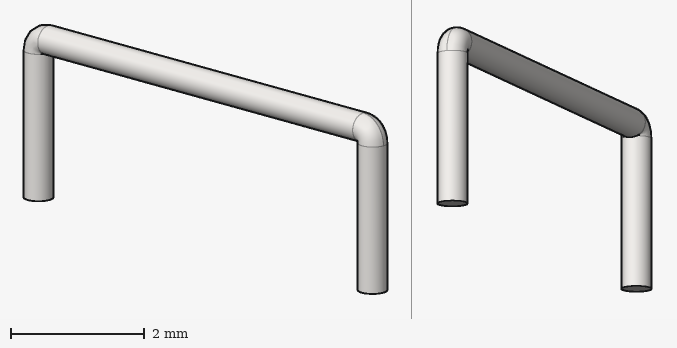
import cadquery as cq

wire_diameter = 0.45
leg_pitch = 7.0
overall_height = 2.72
bend_radius = 0.2

wire_radius = wire_diameter / 2
bar_height = overall_height / 2 - wire_radius
leg_bottom = -overall_height / 2
leg_length = overall_height - wire_radius - bend_radius
bar_length = leg_pitch - 2 * bend_radius
bend_angle = 90
trim_size = 2 * wire_diameter


def make_bar():
    """Horizontal wire between the two bends."""
    start = (-bar_length / 2, 0, bar_height)
    return cq.Workplane("YZ", origin=start).circle(wire_radius).extrude(bar_length)


def make_leg(side):
    """Vertical wire below one bend; side is -1 or +1 along X."""
    foot = (side * leg_pitch / 2, 0, leg_bottom)
    return cq.Workplane("XY", origin=foot).circle(wire_radius).extrude(leg_length)


def make_bend(side):
    """Quarter-turn elbow: the outer part of the wire section turned about the bend centre."""
    centre = (side * bar_length / 2, 0, leg_bottom + leg_length)
    section = (
        cq.Sketch()
        .push([(side * bend_radius, 0)])
        .circle(wire_radius)
        .reset()
        .push([(side * trim_size / 2, 0)])
        .rect(trim_size, trim_size, mode="i")
    )
    plane = cq.Workplane("XY", origin=centre)
    return plane.placeSketch(section).revolve(bend_angle, (0, 0, 0), (0, -side, 0))


result = make_bar()
for end in (-1, 1):
    result = result.union(make_leg(end)).union(make_bend(end))